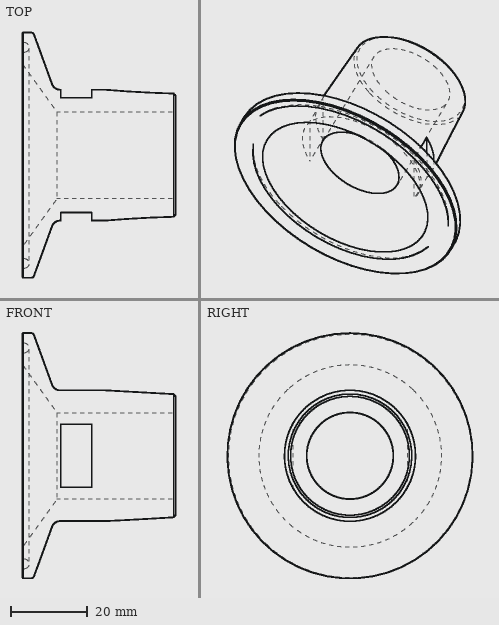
import cadquery as cq
import math

length = 40.0
flange_radius = 32.0
slope_angle = math.radians(20)

rim_width = 2.3
face_chamfer = 0.25
rim_round = 0.8

neck_radius = 17.1
neck_blend = 2.2
taper_start = 21.6
spigot_end_radius = 16.05
end_chamfer = 0.6

mouth_radius = 23.8
bore_radius = 11.25
mouth_depth = 9.0

groove_radius = 28.15
groove_half_width = 2.0
groove_lip_round = 0.7
groove_floor_round = 1.2
groove_draft = math.radians(20)

flat_start = 10.05
flat_width = 8.0
flat_half_span = 15.0
cutter_overshoot = 0.65


def make_outer_body():
    """Solid of revolution bounded by the rim, sloping back, neck and spigot."""
    turn = math.pi / 2 - slope_angle
    half_turn = turn / 2

    rim_center_r = flange_radius - rim_round
    rim_mid = (rim_width + rim_round * math.sin(half_turn),
               rim_center_r + rim_round * math.cos(half_turn))
    slope_top = (rim_width + rim_round * math.sin(turn),
                 rim_center_r + rim_round * math.cos(turn))

    blend_center_r = neck_radius + neck_blend
    slope_bottom_r = blend_center_r - neck_blend * math.cos(turn)
    slope_bottom_x = slope_top[0] + (slope_top[1] - slope_bottom_r) * math.tan(slope_angle)
    blend_end_x = slope_bottom_x + neck_blend * math.sin(turn)
    blend_mid = (blend_end_x - neck_blend * math.sin(half_turn),
                 blend_center_r - neck_blend * math.cos(half_turn))

    profile = (
        cq.Workplane("XZ")
        .moveTo(0, 0)
        .lineTo(0, flange_radius - face_chamfer)
        .lineTo(face_chamfer, flange_radius)
        .lineTo(rim_width, flange_radius)
        .threePointArc(rim_mid, slope_top)
        .lineTo(slope_bottom_x, slope_bottom_r)
        .threePointArc(blend_mid, (blend_end_x, neck_radius))
        .lineTo(taper_start, neck_radius)
        .lineTo(length, spigot_end_radius)
        .lineTo(length, 0)
        .close()
    )
    body = profile.revolve(360, (0, 0), (1, 0))
    return body.faces(">X").edges().chamfer(end_chamfer)


def make_passage():
    """Conical mouth narrowing to the through bore."""
    return (
        cq.Workplane("XZ")
        .polyline([
            (0, 0),
            (0, mouth_radius),
            (mouth_depth, bore_radius),
            (length, bore_radius),
            (length, 0),
        ])
        .close()
        .revolve(360, (0, 0), (1, 0))
    )


def make_groove():
    """Ring groove with rounded lips, drafted walls and a round floor."""
    turn = math.pi / 2 - groove_draft
    half_turn = turn / 2
    lip_offset = groove_half_width - groove_lip_round * math.sin(turn)
    lip_depth = groove_lip_round * (1 - math.cos(turn))
    lip_mid_offset = groove_half_width - groove_lip_round * math.sin(half_turn)
    lip_mid_depth = groove_lip_round * (1 - math.cos(half_turn))
    floor_offset = groove_floor_round * math.sin(turn)
    wall_end_depth = lip_depth + (lip_offset - floor_offset) / math.tan(groove_draft)
    floor_depth = wall_end_depth + groove_floor_round * (1 - math.cos(turn))

    return (
        cq.Workplane("XZ")
        .moveTo(0, groove_radius + groove_half_width)
        .threePointArc((lip_mid_depth, groove_radius + lip_mid_offset),
                       (lip_depth, groove_radius + lip_offset))
        .lineTo(wall_end_depth, groove_radius + floor_offset)
        .threePointArc((floor_depth, groove_radius),
                       (wall_end_depth, groove_radius - floor_offset))
        .lineTo(lip_depth, groove_radius - lip_offset)
        .threePointArc((lip_mid_depth, groove_radius - lip_mid_offset),
                       (0, groove_radius - groove_half_width))
        .close()
        .revolve(360, (0, 0), (1, 0))
    )


def make_flat_cutter(side):
    """Block that cuts one wrench flat; side is +1 or -1 along Y."""
    cutter_depth = neck_radius - flat_half_span + cutter_overshoot
    return cq.Workplane("XY").box(flat_width, cutter_depth, 2 * neck_radius).translate(
        (flat_start + flat_width / 2, side * (flat_half_span + cutter_depth / 2), 0)
    )


result = make_outer_body().cut(make_passage()).cut(make_groove())
for side in (1, -1):
    result = result.cut(make_flat_cutter(side))